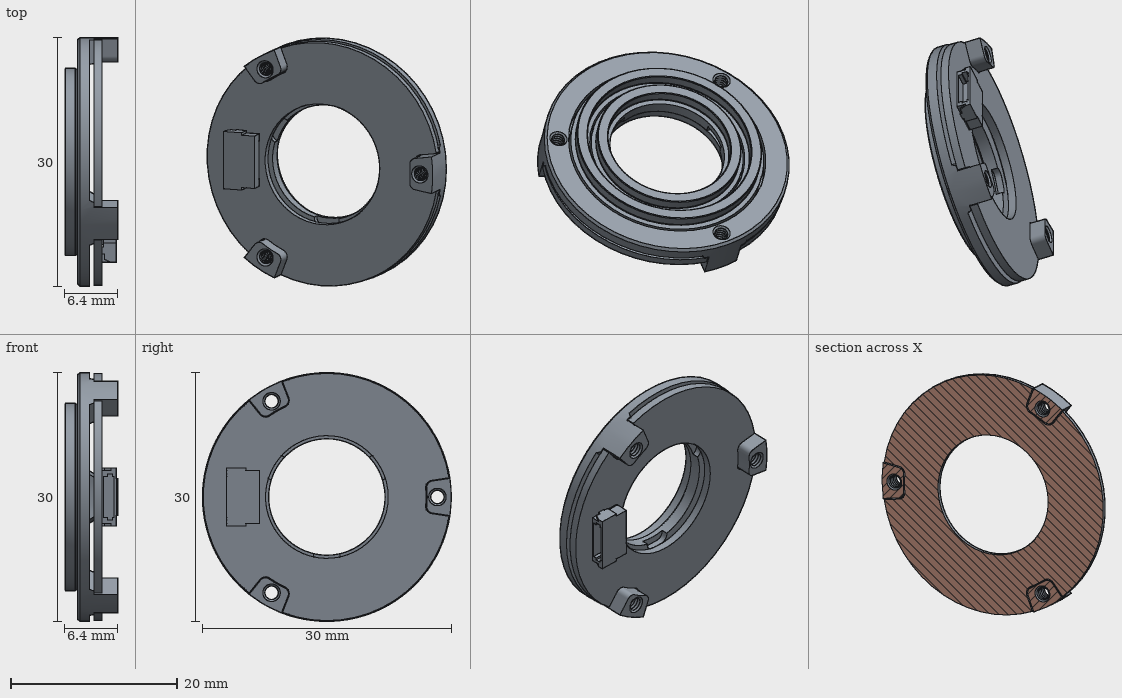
import cadquery as cq
import math


NECK_START = 1.35
FLANGE_FRONT = 1.5
FLANGE_BACK = 3.0
BOARD_FRONT = 3.5
BOARD_BACK = 4.5
LUG_END = 6.4

HOUSING_DIA = 30.0
HOUSING_BORE_DIA = 24.15
RIM_CHAMFER = 0.3

LUG_COUNT = 3
LUG_HALF_ANGLE = 8.6
LUG_CORNER_RADIUS = 0.78
PAD_TOP_MARGIN = 0.6
PAD_BASE_MARGIN = 0.9

SCREW_CIRCLE_DIA = 26.65
THREAD_MINOR_DIA = 1.6
THREAD_MAJOR_DIA = 2.1
THREAD_TURNS = 12

OUTER_HEAD_DIAS = (20.0, 22.62)
OUTER_BASE_DIAS = (19.0, 23.6)
INNER_HEAD_DIAS = (15.0, 17.6)
INNER_BASE_DIAS = (14.0, 18.6)
HEAD_CHAMFER = 0.1

POCKET_DEPTH = 0.8
POCKET_WIDTH = 3.2
POCKET_FLOOR_RADIUS = 7.85
POCKET_CORNER_RADIUS = 0.9

BOARD_DIA = 29.8
BOARD_BORE_DIA = 14.8
BOARD_LUG_CLEARANCE = 0.1

CONNECTOR_HALF_LENGTH = 3.5
CONNECTOR_TOP = 6.2
CONNECTOR_MOUTH = -12.1
CONNECTOR_SHOULDER = -9.75
CONNECTOR_REAR = -8.1
SEAT_REAR = -10.23
FOOT_THICKNESS = 0.15
END_STEP = 0.3
SOCKET_BOTTOM = 4.68
SOCKET_TOP = 5.95
SOCKET_HALF_LENGTH = 2.5
KEY_BOTTOM = 5.13
KEY_TOP = 5.75
KEY_HALF_LENGTH = 2.75
SOCKET_DEPTH = 1.5
CORNER_NOTCH_REAR = -11.1
CORNER_NOTCH_BEND = -11.73
CORNER_NOTCH_LOW = 4.77
CORNER_NOTCH_HIGH = 5.58

FOOT_FRONT = -9.95
FOOT_WIDTH = 0.9

LUG_SPACING = 360 / LUG_COUNT
LUG_ANGLES = [LUG_SPACING * i for i in range(LUG_COUNT)]
POCKET_ANGLES = [angle + LUG_SPACING / 4 for angle in LUG_ANGLES]


def plane_at(x):
    """Workplane square to the axis; its local axes are Y and Z."""
    return cq.Workplane("YZ", origin=(x, 0, 0))


def tube(x_start, x_end, inner_dia, outer_dia):
    return plane_at(x_start).circle(outer_dia / 2).circle(inner_dia / 2).extrude(x_end - x_start)


def around_axis(shape, angle):
    """Turn a shape made on the +Y side around the axis."""
    return shape.rotate((0, 0, 0), (1, 0, 0), angle)


def wedge(x_start, x_end, margin, taper=0):
    """Wedge on the +Y side with the lug's side angle, its sides moved outward by the margin."""
    slope = math.radians(LUG_HALF_ANGLE)
    apex = -margin / math.sin(slope)
    far_end = HOUSING_DIA
    half_width = (far_end - apex) * math.tan(slope)
    outline = plane_at(x_start).polyline([(apex, 0), (far_end, -half_width), (far_end, half_width)]).close()
    return outline.extrude(x_end - x_start, taper=taper)


def lug_block(x_start, x_end, outer_dia, margin=0):
    """Ring sector on the +Y side with rounded inner corners, grown all round by the margin."""
    inner_dia = HOUSING_BORE_DIA - 2 * margin
    sector = tube(x_start, x_end, inner_dia, outer_dia).intersect(wedge(x_start, x_end, margin))
    inner_corners = cq.selectors.BoxSelector(
        (x_start - 0.3, 0, -HOUSING_DIA), (x_end + 0.3, SCREW_CIRCLE_DIA / 2, HOUSING_DIA)
    )
    return sector.edges("|X").edges(inner_corners).fillet(LUG_CORNER_RADIUS + margin)


def pad_block():
    """Flared pad that carries the board around the foot of a lug."""
    height = BOARD_FRONT - FLANGE_BACK
    flare = math.degrees(math.atan2(PAD_BASE_MARGIN - PAD_TOP_MARGIN, height))
    sector = tube(FLANGE_BACK, BOARD_FRONT, HOUSING_BORE_DIA, HOUSING_DIA)
    return sector.intersect(wedge(FLANGE_BACK, BOARD_FRONT, PAD_BASE_MARGIN, flare))


def threaded_hole():
    """Cutter for a through hole with V-shaped thread grooves, on the +Y side."""
    pitch = (LUG_END - FLANGE_FRONT) / THREAD_TURNS
    profile = [(FLANGE_FRONT, 0), (FLANGE_FRONT, THREAD_MAJOR_DIA / 2)]
    for turn in range(THREAD_TURNS):
        groove_start = FLANGE_FRONT + turn * pitch
        profile.append((groove_start + pitch / 2, THREAD_MINOR_DIA / 2))
        profile.append((groove_start + pitch, THREAD_MAJOR_DIA / 2))
    profile.append((LUG_END, 0))
    cutter = cq.Workplane("XY").polyline(profile).close().revolve(360, (0, 0), (1, 0))
    return cutter.translate((0, SCREW_CIRCLE_DIA / 2, 0))


def make_housing():
    flange = tube(FLANGE_FRONT, FLANGE_BACK, HOUSING_BORE_DIA, HOUSING_DIA)
    housing = flange.faces("<X").edges(cq.selectors.RadiusNthSelector(1)).chamfer(RIM_CHAMFER)
    pad = pad_block()
    lug = lug_block(FLANGE_BACK, LUG_END, HOUSING_DIA)
    for angle in LUG_ANGLES:
        housing = housing.union(around_axis(pad, angle)).union(around_axis(lug, angle))
    hole = threaded_hole()
    for angle in LUG_ANGLES:
        housing = housing.cut(around_axis(hole, angle))
    return housing


def make_ring(head_dias, base_dias):
    """Wide base in the plane of the flange with a narrower chamfered head standing in front of it."""
    head_inner, head_outer = head_dias
    head = tube(0, NECK_START, head_inner, head_outer).edges().chamfer(HEAD_CHAMFER)
    neck = tube(NECK_START, FLANGE_FRONT, head_inner + 2 * HEAD_CHAMFER, head_outer - 2 * HEAD_CHAMFER)
    base = tube(FLANGE_FRONT, FLANGE_BACK, *base_dias)
    return base.union(neck).union(head)


def cut_pockets(ring):
    pocket = (
        plane_at(FLANGE_BACK - POCKET_DEPTH)
        .center(POCKET_FLOOR_RADIUS / 2, 0)
        .rect(POCKET_FLOOR_RADIUS, POCKET_WIDTH)
        .extrude(POCKET_DEPTH)
        .edges("|X and >Y")
        .fillet(POCKET_CORNER_RADIUS)
    )
    for angle in POCKET_ANGLES:
        ring = ring.cut(around_axis(pocket, angle))
    return ring


def make_board():
    board = tube(BOARD_FRONT, BOARD_BACK, BOARD_BORE_DIA, BOARD_DIA)
    notch = lug_block(BOARD_FRONT, BOARD_BACK, HOUSING_DIA, BOARD_LUG_CLEARANCE)
    for angle in LUG_ANGLES:
        board = board.cut(around_axis(notch, angle))
    return board


def box(x_range, y_range, z_range):
    sizes = [high - low for low, high in (x_range, y_range, z_range)]
    corner = (x_range[0], y_range[0], z_range[0])
    return cq.Workplane("XY").box(*sizes, centered=False).translate(corner)


def corner_notch(side):
    """Cutter for the sloped notch at the board edge of one connector end."""
    profile = [
        (BOARD_BACK, CORNER_NOTCH_REAR),
        (CORNER_NOTCH_LOW, CORNER_NOTCH_REAR),
        (CORNER_NOTCH_LOW, CORNER_NOTCH_BEND),
        (CORNER_NOTCH_HIGH, CONNECTOR_MOUTH),
        (BOARD_BACK, CONNECTOR_MOUTH),
    ]
    end_face = cq.Workplane("XY", origin=(0, 0, side * CONNECTOR_HALF_LENGTH))
    return end_face.polyline(profile).close().extrude(-side * END_STEP)


def make_connector():
    underside = BOARD_BACK + FOOT_THICKNESS
    full_length = (-CONNECTOR_HALF_LENGTH, CONNECTOR_HALF_LENGTH)
    rear_length = (END_STEP - CONNECTOR_HALF_LENGTH, CONNECTOR_HALF_LENGTH - END_STEP)
    front = box((underside, CONNECTOR_TOP), (CONNECTOR_MOUTH, CONNECTOR_SHOULDER), full_length)
    seat = box((BOARD_BACK, underside), (CONNECTOR_MOUTH, SEAT_REAR), full_length)
    rear = box((underside, CONNECTOR_TOP), (CONNECTOR_SHOULDER, CONNECTOR_REAR), rear_length)
    connector = front.union(seat).union(rear)

    socket_span = (CONNECTOR_MOUTH, CONNECTOR_MOUTH + SOCKET_DEPTH)
    socket = box((SOCKET_BOTTOM, SOCKET_TOP), socket_span, (-SOCKET_HALF_LENGTH, SOCKET_HALF_LENGTH))
    keys = box((KEY_BOTTOM, KEY_TOP), socket_span, (-KEY_HALF_LENGTH, KEY_HALF_LENGTH))
    connector = connector.cut(socket).cut(keys)
    for side in (-1, 1):
        connector = connector.cut(corner_notch(side))
    return connector


def make_solder_foot(side):
    """Flat foot between the board and one end of the connector's rear."""
    outer_end = CONNECTOR_HALF_LENGTH - END_STEP
    z_range = sorted((side * (outer_end - FOOT_WIDTH), side * outer_end))
    return box((BOARD_BACK, BOARD_BACK + FOOT_THICKNESS), (FOOT_FRONT, CONNECTOR_REAR), z_range)


housing = make_housing()
outer_ring = make_ring(OUTER_HEAD_DIAS, OUTER_BASE_DIAS)
inner_ring = cut_pockets(make_ring(INNER_HEAD_DIAS, INNER_BASE_DIAS))
board = make_board()
connector = make_connector()
solder_feet = [make_solder_foot(side) for side in (-1, 1)]

result = cq.Compound.makeCompound(
    [
        housing.val(),
        outer_ring.val(),
        inner_ring.val(),
        board.val(),
        connector.val(),
        *[foot.val() for foot in solder_feet],
    ]
)